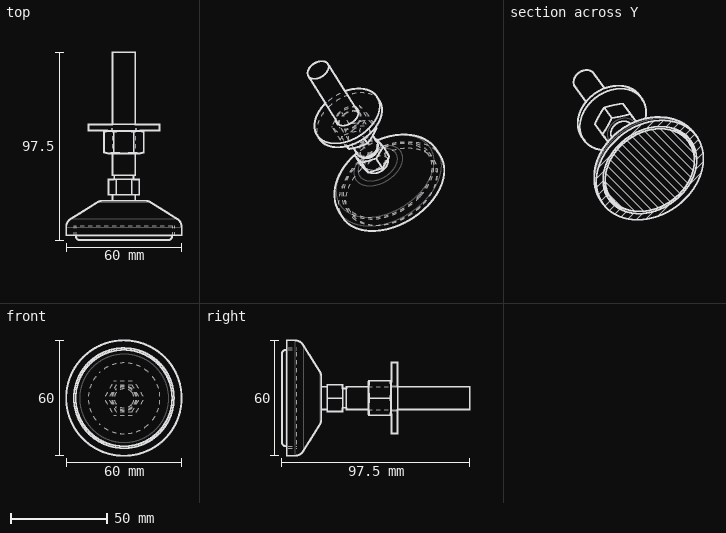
import cadquery as cq
import math


rim_diameter = 60.0
base_top = 20.5
top_diameter = 25.0
flank_angle = 32.0
shoulder_radius = 5.0
crown_radius = 5.0
recess_diameter = 52.0
recess_depth = 5.0

pad_diameter = 50.0
pad_protrusion = 2.5
pad_edge_radius = 2.0

rod_diameter = 12.0
rod_end = 97.5
collar_length = 3.0
hexagon_flats = 14.0
hexagon_length = 8.0
undercut_diameter = 10.11
undercut_length = 2.0

nut_flats = 18.0
nut_height = 12.0
nut_start = 44.8
nut_face_diameter = 16.0
nut_chamfer_angle = 15.0
washer_diameter = 37.0
washer_bore = 13.0
washer_thickness = 3.2


def cylinder(diameter, start, length):
    """Round bar along Y, from Y = start to Y = start + length."""
    plane = cq.Workplane("XZ", origin=(0, start, 0))
    return plane.circle(diameter / 2).extrude(-length)


def hexagon(flats, start, length):
    """Hexagonal bar along Y with two corners on the X axis and flats facing +Z and -Z."""
    corners = flats / math.cos(math.radians(30))
    plane = cq.Workplane("XZ", origin=(0, start, 0))
    return plane.polygon(6, corners).extrude(-length)


def turned(points):
    """Solid of revolution about Y, from (radius, Y) points."""
    return cq.Workplane("XY").polyline(points).close().revolve(360, (0, 0, 0), (0, 1, 0))


def make_base_plate():
    rim_radius = rim_diameter / 2
    top_radius = top_diameter / 2
    flank_rise = (rim_radius - top_radius) * math.tan(math.radians(flank_angle))
    shoulder_height = base_top - flank_rise
    plate = turned([
        (0, pad_protrusion),
        (rim_radius, pad_protrusion),
        (rim_radius, shoulder_height),
        (top_radius, base_top),
        (0, base_top),
    ])
    at_shoulder = cq.NearestToPointSelector((0, shoulder_height, 0))
    plate = plate.edges("%CIRCLE").edges(at_shoulder).fillet(shoulder_radius)
    plate = plate.faces(">Y").edges().fillet(crown_radius)
    return plate.cut(cylinder(recess_diameter, pad_protrusion, recess_depth))


def make_stem():
    hexagon_start = base_top + collar_length
    undercut_start = hexagon_start + hexagon_length
    rod_start = undercut_start + undercut_length
    collar = cylinder(rod_diameter, base_top, collar_length)
    wrench_hexagon = hexagon(hexagon_flats, hexagon_start, hexagon_length)
    undercut = cylinder(undercut_diameter, undercut_start, undercut_length)
    rod = cylinder(rod_diameter, rod_start, rod_end - rod_start)
    return collar.union(wrench_hexagon).union(undercut).union(rod)


def make_pad():
    pad = cylinder(pad_diameter, 0, pad_protrusion + recess_depth)
    return pad.faces("<Y").edges().fillet(pad_edge_radius)


def make_nut():
    nut_end = nut_start + nut_height
    face_radius = nut_face_diameter / 2
    corner_radius = nut_flats / 2 / math.cos(math.radians(30))
    corner_drop = (corner_radius - face_radius) * math.tan(math.radians(nut_chamfer_angle))
    blank = turned([
        (0, nut_start),
        (face_radius, nut_start),
        (corner_radius, nut_start + corner_drop),
        (corner_radius, nut_end - corner_drop),
        (face_radius, nut_end),
        (0, nut_end),
    ])
    bore = cylinder(rod_diameter, nut_start, nut_height)
    return hexagon(nut_flats, nut_start, nut_height).intersect(blank).cut(bore)


def make_washer():
    washer_start = nut_start + nut_height
    disc = cylinder(washer_diameter, washer_start, washer_thickness)
    return disc.cut(cylinder(washer_bore, washer_start, washer_thickness))


base = make_base_plate().union(make_stem())
pad = make_pad()
nut = make_nut()
washer = make_washer()

result = cq.Compound.makeCompound([base.val(), pad.val(), nut.val(), washer.val()])